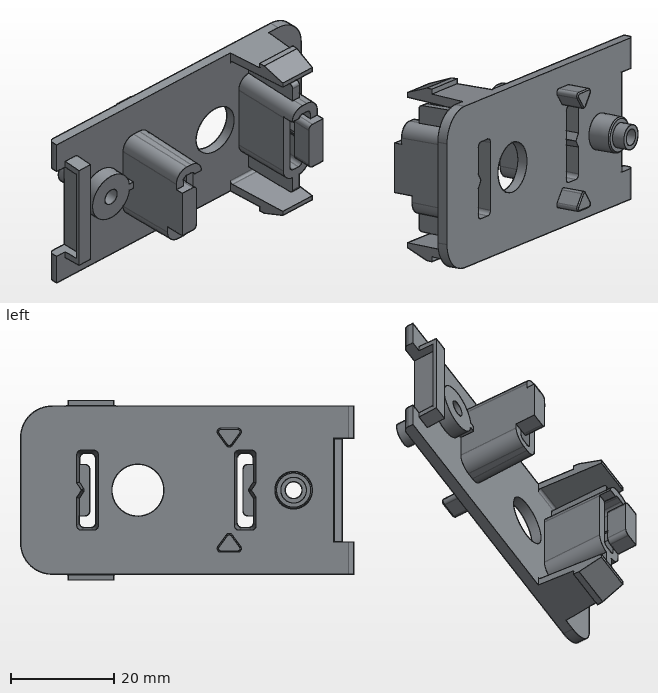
import cadquery as cq


LENGTH = 64.55
OVERALL_WIDTH = 34.8

PLATE_HALF_WIDTH = 16.25
PLATE_THICKNESS = 2.1
CORNER_RADIUS = 6.1
END_EDGE_RADIUS = 1.05
HOLE_DIAMETER = 10.0
HOLE_Y = 41.8

NOTCH_HALF_WIDTH = 10.1
NOTCH_DEPTH = 3.95
NOTCH_FLOOR_X = 4.4
NOTCH_RAMP_X = 5.3
NOTCH_DRAFT = 2.0
LIP_ROOT_HALF_WIDTH = 11.35
LIP_BACK_HALF_WIDTH = 11.15
LIP_LOW_Y = 2.25
LIP_HIGH_Y = 5.3
LIP_BACK_X = 6.05

REAR_TOWER_Y = 51.55
FRONT_TOWER_Y = 21.05
TOWER_WIDTH = 7.05
TOWER_LENGTH = 18.45
TOWER_RADIUS = 2.8
TOWER_DRAFT = 0.7
TOWER_LOW_X = 14.65
TOWER_HIGH_X = 17.1
SLOT_WIDTH = 4.2
SLOT_LENGTH = 15.5
SLOT_RADIUS = 0.9
SLOT_DRAFT = 2.1
RIDGE_HEIGHT = 0.9
RIDGE_HALF_WIDTH = 1.4

TAB_BACK_X = 18.8
TAB_HALF_LENGTH = 10.0 / 2
TAB_INNER_Y = -0.45
TAB_RADIUS = 1.0

FIN_THICKNESS = 1.8
FIN_ROOT_HALF = 12.9
FIN_TIP_HALF = 12.7
FIN_CORNER_RADIUS = 0.8

CLIP_CATCH_X = 9.75
CLIP_CREST_X = 11.0
CLIP_TIP_X = 15.8
CLIP_ROOT_INNER_Z = 14.45
CLIP_TIP_INNER_Z = 14.65
CLIP_TIP_OUTER_Z = 15.6
CLIP_CATCH_Z = 16.4
CLIP_CREST_Z = OVERALL_WIDTH / 2
CLIP_ROOT_RADIUS = 0.6
CLIP_ROOT_LOW_Y = 45.8
CLIP_ROOT_HIGH_Y = 55.95
CLIP_TIP_LOW_Y = 47.0
CLIP_TIP_HIGH_Y = 54.8

PIN_Y = 11.7
PIN_BASE_DIAMETER = 7.3
PIN_DRAFT = 1.0
PIN_BASE_HEIGHT = 4.7
PIN_CHAMFER = 0.25
PIN_TIP_DIAMETER = 5.0
PIN_TIP_HEIGHT = 7.35
PIN_BORE_DIAMETER = 3.2
BOSS_DIAMETER = 9.95
BOSS_BACK_X = 5.05
RIB_THICKNESS = 1.5

PEG_Y = 24.15
PEG_BASE_Z = 12.0
PEG_HALF_BASE = 3.05
PEG_HEIGHT = 4.1
PEG_LENGTH = 4.9
PEG_RADIUS = 0.7
PEG_CHAMFER = 0.25

SIDE_SLOPE = (CLIP_CATCH_Z - PLATE_HALF_WIDTH) / CLIP_CATCH_X
PLATE_BACK_HALF_WIDTH = PLATE_HALF_WIDTH + SIDE_SLOPE * PLATE_THICKNESS


def block(x_range, y_range, z_range):
    """Box spanning the given (low, high) limits along each axis."""
    lows, highs = zip(x_range, y_range, z_range)
    sizes = [high - low for low, high in zip(lows, highs)]
    return cq.Workplane("XY").box(*sizes, centered=False).translate(lows)


def symmetric(half):
    return (-half, half)


def slab(upper_profile, y_range):
    """Slab symmetric about Z = 0, whose (X, Z) upper outline is swept over the given Y limits."""
    low_y, high_y = y_range
    lower_profile = [(x, -z) for x, z in reversed(upper_profile)]
    outline = cq.Workplane("XZ", origin=(0, low_y, 0)).polyline(upper_profile + lower_profile).close()
    return outline.extrude(low_y - high_y)


def mirrored_pair(body):
    return body.union(body.mirror("XY"))


def make_plate():
    plate = slab([(0, PLATE_HALF_WIDTH), (PLATE_THICKNESS, PLATE_BACK_HALF_WIDTH)], (0, LENGTH))
    plate = plate.edges(">Y").edges("not(|Z)").fillet(CORNER_RADIUS)
    plate = plate.edges("<X and <Y").fillet(END_EDGE_RADIUS)
    hole = cq.Workplane("YZ").center(HOLE_Y, 0).circle(HOLE_DIAMETER / 2).extrude(PLATE_THICKNESS)
    return plate.cut(hole)


def make_lip():
    """Bar behind the notch whose ends lean in beyond the plate."""
    profile = [
        (0, LIP_ROOT_HALF_WIDTH),
        (PLATE_THICKNESS, LIP_ROOT_HALF_WIDTH),
        (LIP_BACK_X, LIP_BACK_HALF_WIDTH),
    ]
    return slab(profile, (LIP_LOW_Y, LIP_HIGH_Y))


def make_notch():
    """Pocket open at the plate end, with drafted sides and a sloping floor."""
    sides = (
        cq.Workplane("YZ")
        .rect(2 * NOTCH_DEPTH, 2 * NOTCH_HALF_WIDTH)
        .extrude(LIP_BACK_X, taper=NOTCH_DRAFT)
    )
    ramp_slope = (NOTCH_RAMP_X - NOTCH_FLOOR_X) / (NOTCH_DEPTH - LIP_LOW_Y)
    profile = (
        cq.Workplane("XY")
        .moveTo(0, 0)
        .lineTo(0, NOTCH_DEPTH)
        .lineTo(NOTCH_FLOOR_X, NOTCH_DEPTH)
        .lineTo(NOTCH_FLOOR_X + ramp_slope * NOTCH_DEPTH, 0)
        .close()
        .extrude(NOTCH_HALF_WIDTH, both=True)
    )
    return sides.intersect(profile)


def drafted_pad(width, length, radius, base_x, height, draft):
    """Round-cornered rectangle about Y = 0, extruded from X = base_x and shrinking by the draft angle."""
    return (
        cq.Workplane("YZ", origin=(base_x, 0, 0))
        .rect(width, length)
        .extrude(height, taper=draft)
        .edges("not(#X)")
        .fillet(radius)
    )


def make_tower_blank(back_x):
    height = back_x - PLATE_THICKNESS
    return drafted_pad(TOWER_WIDTH, TOWER_LENGTH, TOWER_RADIUS, PLATE_THICKNESS, height, TOWER_DRAFT)


def make_tower_body():
    """Tower about Y = 0, still without its slot, with only its +Z end raised to full height."""
    raised_z = TOWER_LENGTH / 2 - TOWER_RADIUS
    high_x = (TOWER_LOW_X, TOWER_HIGH_X)
    open_side = block(high_x, (-TOWER_WIDTH, 0), (-TOWER_LENGTH, raised_z))
    tab_side = block(high_x, (0, TOWER_WIDTH), (-TOWER_LENGTH, TAB_HALF_LENGTH))
    return make_tower_blank(TOWER_HIGH_X).cut(open_side).cut(tab_side)


def make_slot():
    """Tapered slot about Y = 0 with a V ridge standing on its +Y wall."""
    wall_y = SLOT_WIDTH / 2
    pocket = drafted_pad(SLOT_WIDTH, SLOT_LENGTH, SLOT_RADIUS, 0, TOWER_HIGH_X, SLOT_DRAFT)
    ridge = (
        cq.Workplane("YZ")
        .moveTo(wall_y - RIDGE_HEIGHT, 0)
        .lineTo(wall_y, -RIDGE_HALF_WIDTH)
        .lineTo(wall_y, RIDGE_HALF_WIDTH)
        .close()
        .extrude(TOWER_HIGH_X, taper=-SLOT_DRAFT)
    )
    return pocket.cut(ridge)


def make_tab():
    """Rounded tab whose outer face continues the tower wall."""
    tab = block((TOWER_LOW_X, TAB_BACK_X), (TAB_INNER_Y, TOWER_WIDTH), symmetric(TAB_HALF_LENGTH))
    tab = tab.edges("|X and <Y").fillet(TAB_RADIUS)
    return tab.intersect(make_tower_blank(TAB_BACK_X))


def make_fin():
    """Fin about Y = 0, reaching past both ends of the tower it stiffens."""
    profile = [
        (0, FIN_ROOT_HALF),
        (PLATE_THICKNESS, FIN_ROOT_HALF),
        (TOWER_LOW_X, FIN_TIP_HALF),
    ]
    fin = slab(profile, symmetric(FIN_THICKNESS / 2))
    return fin.edges("|Y and >X").fillet(FIN_CORNER_RADIUS)


def make_clip():
    """Barbed snap arm on the +Z edge, narrowing toward its tip."""
    side = (
        cq.Workplane("XZ")
        .moveTo(0, CLIP_ROOT_INNER_Z)
        .lineTo(0, PLATE_HALF_WIDTH)
        .lineTo(CLIP_CATCH_X, CLIP_CATCH_Z)
        .lineTo(CLIP_CATCH_X, CLIP_CREST_Z)
        .lineTo(CLIP_CREST_X, CLIP_CREST_Z)
        .lineTo(CLIP_TIP_X, CLIP_TIP_OUTER_Z)
        .lineTo(CLIP_TIP_X, CLIP_TIP_INNER_Z)
        .lineTo(PLATE_THICKNESS + CLIP_ROOT_RADIUS, CLIP_ROOT_INNER_Z)
        .radiusArc((PLATE_THICKNESS, CLIP_ROOT_INNER_Z - CLIP_ROOT_RADIUS), -CLIP_ROOT_RADIUS)
        .lineTo(0, CLIP_ROOT_INNER_Z - CLIP_ROOT_RADIUS)
        .close()
        .extrude(-LENGTH)
    )
    plan = (
        cq.Workplane("XY")
        .moveTo(0, CLIP_ROOT_LOW_Y)
        .lineTo(PLATE_THICKNESS, CLIP_ROOT_LOW_Y)
        .lineTo(CLIP_TIP_X, CLIP_TIP_LOW_Y)
        .lineTo(CLIP_TIP_X, CLIP_TIP_HIGH_Y)
        .lineTo(PLATE_THICKNESS, CLIP_ROOT_HIGH_Y)
        .lineTo(0, CLIP_ROOT_HIGH_Y)
        .close()
        .extrude(CLIP_CREST_Z)
    )
    return side.intersect(plan)


def round_bar(diameter, length, taper=0):
    """Round bar about the pin axis, from X = 0 toward +X, or toward -X if the length is negative."""
    return cq.Workplane("YZ").center(PIN_Y, 0).circle(diameter / 2).extrude(length, taper=taper)


def make_pin():
    base = round_bar(PIN_BASE_DIAMETER, -PIN_BASE_HEIGHT, PIN_DRAFT).faces("<X").chamfer(PIN_CHAMFER)
    boss = round_bar(BOSS_DIAMETER, BOSS_BACK_X, PIN_DRAFT)
    tip = round_bar(PIN_TIP_DIAMETER, -PIN_TIP_HEIGHT)
    tower_wall_y = FRONT_TOWER_Y - (TOWER_WIDTH + SLOT_WIDTH) / 4
    rib = block((0, BOSS_BACK_X), (PIN_Y, tower_wall_y), symmetric(RIB_THICKNESS / 2))
    return base.union(tip).union(boss).union(rib)


def make_bore():
    return round_bar(PIN_BORE_DIAMETER, BOSS_BACK_X).union(round_bar(PIN_BORE_DIAMETER, -PIN_TIP_HEIGHT))


def make_peg():
    """Triangular peg on the front face, pointing toward the plate centreline."""
    return (
        cq.Workplane("YZ")
        .moveTo(PEG_Y - PEG_HALF_BASE, PEG_BASE_Z)
        .lineTo(PEG_Y + PEG_HALF_BASE, PEG_BASE_Z)
        .lineTo(PEG_Y, PEG_BASE_Z - PEG_HEIGHT)
        .close()
        .extrude(-PEG_LENGTH)
        .edges("|X")
        .fillet(PEG_RADIUS)
        .faces("<X")
        .chamfer(PEG_CHAMFER)
    )


tower = make_tower_body()
slot = make_slot()
tab = make_tab()

result = make_plate().union(make_lip()).cut(make_notch())
result = result.union(mirrored_pair(make_clip()))
result = result.union(mirrored_pair(make_peg()))
result = result.union(make_pin()).cut(make_bore())
result = result.union(make_fin().translate((0, REAR_TOWER_Y, 0)))
for tower_y, flipped in ((REAR_TOWER_Y, False), (FRONT_TOWER_Y, True)):
    parts = [part.mirror("XZ") if flipped else part for part in (tower, slot, tab)]
    placed_tower, placed_slot, placed_tab = [part.translate((0, tower_y, 0)) for part in parts]
    result = result.union(placed_tower).cut(placed_slot).union(placed_tab)